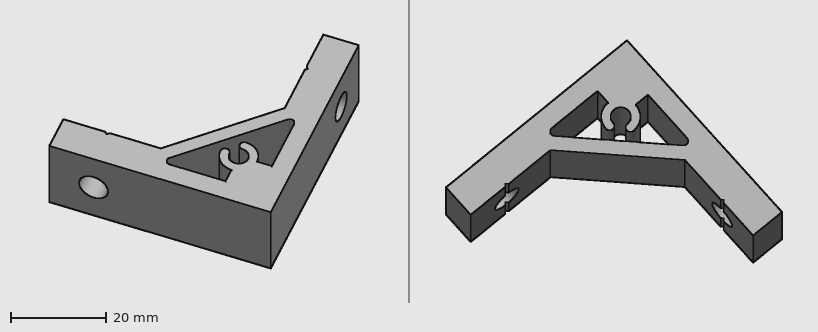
import cadquery as cq

arm_length = 50
arm_thickness = 8
height = 18

brace_reach = 28
pocket_wall = 4.5
pocket_reach = 27
pocket_corner_radius = 1

block_size = 12
channel_bore_radius = 2.1
lip_thickness = 2
channel_outer_radius = channel_bore_radius + lip_thickness
lip_center_radius = channel_bore_radius + lip_thickness / 2

hole_diameter = 6.5
hole_from_end = 10
hole_position = arm_length - hole_from_end
groove_depth = 0.5
groove_half_width = 0.5


def extrude_outline(points):
    return cq.Workplane("XY").polyline(points).close().extrude(height)


def mirror_across_corner(point):
    """Reflect a point onto the other arm."""
    x, y = point
    return (-y, -x)


def make_body():
    arm_points = [
        (0, 0),
        (-arm_length, 0),
        (-arm_length, arm_thickness),
        (-hole_position - groove_half_width, arm_thickness),
        (-hole_position, arm_thickness - groove_depth),
        (-hole_position + groove_half_width, arm_thickness),
        (-brace_reach, arm_thickness),
    ]
    other_arm = [mirror_across_corner(p) for p in reversed(arm_points[1:])]
    return extrude_outline(arm_points + other_arm)


def make_pocket():
    triangle = extrude_outline([
        (-pocket_wall, pocket_wall),
        (-pocket_reach, pocket_wall),
        (-pocket_wall, pocket_reach),
    ])
    sharp_corners = triangle.edges("|Z").edges("<X or >Y")
    return sharp_corners.fillet(pocket_corner_radius)


def cylinder(x, y, radius):
    return cq.Workplane("XY").center(x, y).circle(radius).extrude(height)


def make_channel():
    """Three-quarter ring, open toward the brace, with rounded lips."""
    center_x, center_y = -block_size, block_size
    bore = cylinder(center_x, center_y, channel_bore_radius)
    opening = (
        cq.Workplane("XY")
        .center(center_x, center_y)
        .rect(-channel_outer_radius, channel_outer_radius, centered=False)
        .extrude(height)
    )
    block = cq.Workplane("XY").rect(-block_size, block_size, centered=False).extrude(height)
    ring = cylinder(center_x, center_y, channel_outer_radius).cut(opening)
    channel = block.union(ring).cut(bore)
    lip_radius = lip_thickness / 2
    channel = channel.union(cylinder(center_x - lip_center_radius, center_y, lip_radius))
    return channel.union(cylinder(center_x, center_y + lip_center_radius, lip_radius))


def make_bolt_hole(start, direction):
    return cq.Workplane(
        cq.Solid.makeCylinder(
            hole_diameter / 2, arm_thickness, cq.Vector(*start), cq.Vector(*direction)
        )
    )


result = make_body().cut(make_pocket()).union(make_channel())
result = result.cut(make_bolt_hole((-hole_position, 0, height / 2), (0, 1, 0)))
result = result.cut(make_bolt_hole((0, hole_position, height / 2), (-1, 0, 0)))